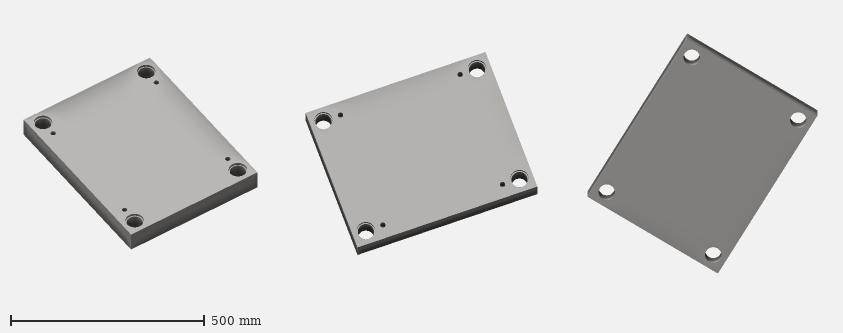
import cadquery as cq
import math

length = 495.5
width = 395.5
thickness = 56.0

guide_diameter = 42.0
counterbore_diameter = 48.0
counterbore_depth = 7.0
guide_edge_distance = 36.0
guide_spacing_x = length - 2 * guide_edge_distance
guide_spacing_y = width - 2 * guide_edge_distance

drill_diameter = 14.0
drill_depth = 29.5
drill_tip_angle = 118.0
drill_spacing_x = 329.5


def drilled_hole():
    """Cylinder with a conical tip, its mouth at the origin and pointing down."""
    radius = drill_diameter / 2
    tip_height = radius / math.tan(math.radians(drill_tip_angle / 2))
    return (
        cq.Workplane("XZ")
        .lineTo(radius, 0)
        .lineTo(radius, -drill_depth)
        .lineTo(0, -drill_depth - tip_height)
        .close()
        .revolve(360, (0, 0), (0, 1))
        .val()
    )


plate = cq.Workplane("XY").box(length, width, thickness)

plate = (
    plate.faces(">Z")
    .workplane()
    .rarray(guide_spacing_x, guide_spacing_y, 2, 2)
    .cboreHole(guide_diameter, counterbore_diameter, counterbore_depth)
)

drills = (
    cq.Workplane("XY", origin=(0, 0, thickness / 2))
    .rarray(drill_spacing_x, guide_spacing_y, 2, 2)
    .eachpoint(drilled_hole(), combine=False)
)

result = plate.cut(drills)